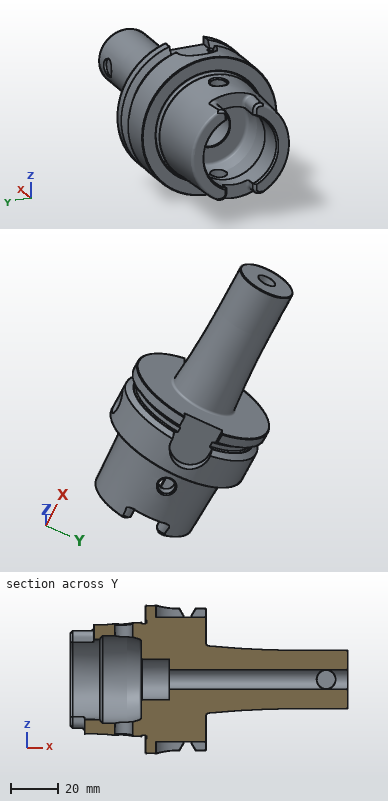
import cadquery as cq
import math

taper_length = 32.0
taper_end_radius = 22.9
taper_base_radius = 24.3
taper_base_gap = 1.8
rim_round = 1.2
neck_radius = 23.8
neck_chamfer = 0.5
neck_round = 0.7
relief_radius = 25.3
relief_depth = 0.5
flange_radius = 31.5
flange_width = 25.8
flange_chamfer = 0.4
groove_start = 14.4
groove_width = 7.0
groove_floor_width = 3.3
groove_shoulder_radius = 28.5
groove_floor_radius = 27.6
groove_floor_round = 0.6
total_length = 117.9
shank_radius = 12.5
shank_root_radius = 14.4
shank_root_round = 1.1
shank_straight_length = 20.3
shank_chamfer = 0.4
cavity_radius = 17.0
cavity_chamfer = 0.6
cavity_chamfer_length = 1.1
cavity_straight_depth = 12.5
cavity_cone_depth = 1.3
cavity_undercut_radius = 18.5
cavity_depth = 30.2
cavity_floor_cone_angle = 15.0
cavity_floor_round = 1.4
cavity_floor_radius = 15.8
coolant_bore_radius = 9.0
coolant_bore_chamfer = 0.4
coolant_bore_depth = 11.8
tool_bore_radius = 4.0
notch_half_width = 6.1
notch_flare_radius = 2.8
notch_flare_height = 20.8
notch_floor_round = 1.2
top_notch_depth = 10.0
bottom_notch_depth = 6.1
clamp_hole_radius = 3.7
clamp_hole_chamfer = 0.6
clamp_hole_from_rim = 22.8
pocket_radius = 5.0
pocket_from_face = 6.8
pocket_floor = 26.5
key_slot_width = 17.9
key_slot_floor = 26.5
key_slot_start = 4.6
screw_radius = 4.0
screw_from_shank_end = 9.2
screw_tip = 2.6
screw_head = 11.2

rim_x = -taper_length
flange_end = flange_width
shank_end = total_length - taper_length
beyond = flange_radius + 5.9
margin = 0.2


def outer_body():
    """Taper, undercut, flange and shank, turned as one solid."""
    straight_start = shank_end - shank_straight_length
    root_x = flange_end + shank_root_round
    curve_run = straight_start - root_x
    curve_drop = shank_root_radius - shank_radius
    curve_radius = (curve_run**2 + curve_drop**2) / (2 * curve_drop)
    middle_x = root_x + curve_run / 2
    middle_r = shank_radius + curve_radius - math.sqrt(curve_radius**2 - (curve_run / 2) ** 2)
    round_middle = shank_root_round * (1 - math.sqrt(0.5))
    neck_inset = neck_round * (1 - math.sqrt(0.5))
    return (
        cq.Workplane("XY")
        .moveTo(rim_x, 0)
        .lineTo(rim_x, taper_end_radius)
        .lineTo(-taper_base_gap, taper_base_radius)
        .lineTo(-taper_base_gap + neck_chamfer, neck_radius)
        .lineTo(relief_depth - neck_round, neck_radius)
        .threePointArc(
            (relief_depth - neck_inset, neck_radius + neck_inset),
            (relief_depth, neck_radius + neck_round),
        )
        .lineTo(relief_depth, relief_radius - relief_depth)
        .lineTo(0, relief_radius)
        .lineTo(0, flange_radius - flange_chamfer)
        .lineTo(flange_chamfer, flange_radius)
        .lineTo(flange_end - flange_chamfer, flange_radius)
        .lineTo(flange_end, flange_radius - flange_chamfer)
        .lineTo(flange_end, shank_root_radius + shank_root_round)
        .threePointArc(
            (flange_end + round_middle, shank_root_radius + round_middle),
            (root_x, shank_root_radius),
        )
        .threePointArc((middle_x, middle_r), (straight_start, shank_radius))
        .lineTo(shank_end - shank_chamfer, shank_radius)
        .lineTo(shank_end, shank_radius - shank_chamfer)
        .lineTo(shank_end, 0)
        .close()
        .revolve(360, (0, 0, 0), (1, 0, 0))
    )


def gripper_groove():
    """Ring of material removed for the V groove with its square-shouldered floor."""
    slope_run = (groove_width - groove_floor_width) / 2
    slope = slope_run / (flange_radius - groove_shoulder_radius)
    mouth_radius = beyond
    overrun = slope * (mouth_radius - flange_radius)
    left = groove_start
    right = groove_start + groove_width
    floor_left = left + slope_run
    floor_right = right - slope_run
    arc_inset = groove_floor_round * (1 - math.sqrt(0.5))
    return (
        cq.Workplane("XY")
        .moveTo(left - overrun, mouth_radius)
        .lineTo(floor_left, groove_shoulder_radius)
        .lineTo(floor_left, groove_floor_radius + groove_floor_round)
        .threePointArc(
            (floor_left + arc_inset, groove_floor_radius + arc_inset),
            (floor_left + groove_floor_round, groove_floor_radius),
        )
        .lineTo(floor_right - groove_floor_round, groove_floor_radius)
        .threePointArc(
            (floor_right - arc_inset, groove_floor_radius + arc_inset),
            (floor_right, groove_floor_radius + groove_floor_round),
        )
        .lineTo(floor_right, groove_shoulder_radius)
        .lineTo(right + overrun, mouth_radius)
        .close()
        .revolve(360, (0, 0, 0), (1, 0, 0))
    )


def drive_notch(depth, side):
    """Notch from the axis outward: straight walls, rounded outward to a flat ledge."""
    ledge_y = notch_half_width + notch_flare_radius
    flare_start = notch_flare_height - notch_flare_radius
    arc_y = ledge_y - notch_flare_radius * math.sqrt(0.5)
    arc_z = flare_start + notch_flare_radius * math.sqrt(0.5)
    notch = (
        cq.Workplane("YZ", origin=(rim_x - notch_floor_round, 0, 0))
        .moveTo(-notch_half_width, 0)
        .lineTo(-notch_half_width, flare_start)
        .threePointArc((-arc_y, arc_z), (-ledge_y, notch_flare_height))
        .lineTo(-beyond, notch_flare_height)
        .lineTo(-beyond, beyond)
        .lineTo(beyond, beyond)
        .lineTo(beyond, notch_flare_height)
        .lineTo(ledge_y, notch_flare_height)
        .threePointArc((arc_y, arc_z), (notch_half_width, flare_start))
        .lineTo(notch_half_width, 0)
        .close()
        .extrude(depth + notch_floor_round)
    )
    wall_edges = notch.faces(">X").edges("not(>Z or <Z or >Y or <Y)")
    notch = wall_edges.fillet(notch_floor_round)
    return notch if side > 0 else notch.mirror("XY")


def finish_rim(body):
    """Chamfer the notch walls at the rim and round the outer edge of the rim."""
    wall_y = notch_half_width + notch_flare_radius + margin
    wall_z = notch_flare_height + margin
    walls = cq.selectors.BoxSelector((rim_x - margin, -wall_y, -wall_z), (rim_x + margin, wall_y, wall_z))
    body = body.faces("<X").edges(walls).chamfer(rim_round)
    outer = cq.selectors.RadiusNthSelector(-1)
    return body.faces("<X").edges("%CIRCLE").edges(outer).fillet(rim_round)


def cavity():
    """Hollow of the taper with its clamping undercut, and the coolant bore behind it."""
    straight_end = rim_x + cavity_straight_depth
    floor_x = rim_x + cavity_depth
    bore_end = floor_x + coolant_bore_depth
    cone_angle = math.radians(cavity_floor_cone_angle)
    round_centre_x = floor_x - cavity_floor_round
    round_start_x = round_centre_x + cavity_floor_round * math.sin(cone_angle)
    round_start_r = cavity_floor_radius + cavity_floor_round * math.cos(cone_angle)
    cone_length = (cavity_undercut_radius - round_start_r) / math.tan(cone_angle)
    middle_angle = (cone_angle + math.pi / 2) / 2
    round_middle_x = round_centre_x + cavity_floor_round * math.sin(middle_angle)
    round_middle_r = cavity_floor_radius + cavity_floor_round * math.cos(middle_angle)
    return (
        cq.Workplane("XY")
        .moveTo(rim_x, 0)
        .lineTo(rim_x, cavity_radius + cavity_chamfer)
        .lineTo(rim_x + cavity_chamfer_length, cavity_radius)
        .lineTo(straight_end, cavity_radius)
        .lineTo(straight_end + cavity_cone_depth, cavity_undercut_radius)
        .lineTo(round_start_x - cone_length, cavity_undercut_radius)
        .lineTo(round_start_x, round_start_r)
        .threePointArc((round_middle_x, round_middle_r), (floor_x, cavity_floor_radius))
        .lineTo(floor_x, coolant_bore_radius)
        .lineTo(floor_x + coolant_bore_chamfer, coolant_bore_radius - coolant_bore_chamfer)
        .lineTo(bore_end, coolant_bore_radius - coolant_bore_chamfer)
        .lineTo(bore_end, 0)
        .close()
        .revolve(360, (0, 0, 0), (1, 0, 0))
    )


def tool_bore():
    """Plain bore from inside the flange out through the shank end."""
    return cq.Workplane("YZ").circle(tool_bore_radius).extrude(shank_end)


def clamp_hole():
    """Hole through both walls of the taper along Z."""
    hole_x = rim_x + clamp_hole_from_rim
    axis_plane = cq.Workplane("XY", origin=(hole_x, 0, 0))
    return axis_plane.circle(clamp_hole_radius).extrude(beyond, both=True)


def chamfer_clamp_holes(body):
    """Break the two outer mouths of the hole where it leaves the taper."""
    hole_x = rim_x + clamp_hole_from_rim
    reach = clamp_hole_radius + margin
    taper_wall_middle = (cavity_undercut_radius + taper_base_radius) / 2
    for side in (1, -1):
        low, high = sorted((side * taper_wall_middle, side * beyond))
        mouth = cq.selectors.BoxSelector((hole_x - reach, -reach, low), (hole_x + reach, reach, high), True)
        body = body.edges(mouth).chamfer(clamp_hole_chamfer)
    return body


def flange_pocket():
    """Flat-floored round pocket in the -Y side of the flange."""
    plane = cq.Workplane("XZ", origin=(pocket_from_face, -pocket_floor, 0))
    return plane.circle(pocket_radius).extrude(beyond)


def key_slot(side):
    """Round-ended slot, open toward the shank, with a flat floor."""
    half_width = key_slot_width / 2
    centre_x = key_slot_start + half_width
    slot = (
        cq.Workplane("XY", origin=(0, 0, key_slot_floor))
        .moveTo(flange_end, -half_width)
        .lineTo(centre_x, -half_width)
        .threePointArc((key_slot_start, 0), (centre_x, half_width))
        .lineTo(flange_end, half_width)
        .close()
        .extrude(beyond)
    )
    return slot if side > 0 else slot.mirror("XY")


def along_y(radius, start, end):
    """Cylinder along +Y at the set screw position, between two distances from the axis."""
    screw_x = shank_end - screw_from_shank_end
    return cq.Workplane("XZ", origin=(screw_x, start, 0)).circle(radius).extrude(start - end)


def make_holder():
    holder = outer_body().cut(gripper_groove())
    holder = holder.cut(drive_notch(top_notch_depth, 1)).cut(drive_notch(bottom_notch_depth, -1))
    holder = finish_rim(holder)
    holder = holder.cut(cavity()).cut(tool_bore())
    holder = chamfer_clamp_holes(holder.cut(clamp_hole()))
    holder = holder.cut(flange_pocket())
    for side in (1, -1):
        holder = holder.cut(key_slot(side))
    return holder.cut(along_y(screw_radius, 0, beyond))


def make_set_screw():
    return along_y(screw_radius, screw_tip, screw_head)


holder = make_holder()
set_screw = make_set_screw()
result = cq.Compound.makeCompound([holder.val(), set_screw.val()])